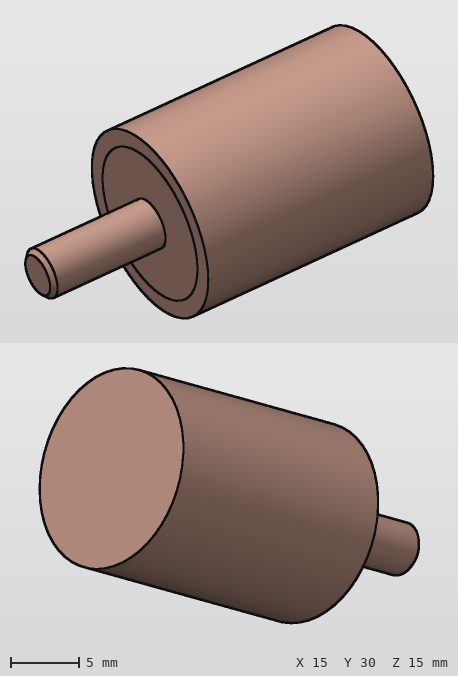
import cadquery as cq

total_length = 30.0
rubber_diameter = 15.0
stud_length = 10.0
stud_diameter = 4.0
stud_chamfer = 0.4
plate_diameter = 12.2
plate_thickness = 2.0

rubber_length = total_length - stud_length


def cylinder_along_y(diameter, start_y, length):
    """Solid cylinder on the Y axis, running from start_y toward +Y."""
    return cq.Workplane("XZ", origin=(0, start_y, 0)).circle(diameter / 2).extrude(-length)


def make_rubber():
    """Cylindrical rubber block with a front recess for the plate."""
    block = cylinder_along_y(rubber_diameter, 0, rubber_length)
    recess = cylinder_along_y(plate_diameter, 0, plate_thickness)
    return block.cut(recess)


def make_stud_plate():
    """Round plate flush with the rubber, carrying the stud with its chamfered tip."""
    plate = cylinder_along_y(plate_diameter, 0, plate_thickness)
    stud = cylinder_along_y(stud_diameter, -stud_length, stud_length)
    stud = stud.faces("<Y").chamfer(stud_chamfer)
    return plate.union(stud)


rubber = make_rubber()
stud_plate = make_stud_plate()

result = cq.Compound.makeCompound([rubber.val(), stud_plate.val()])